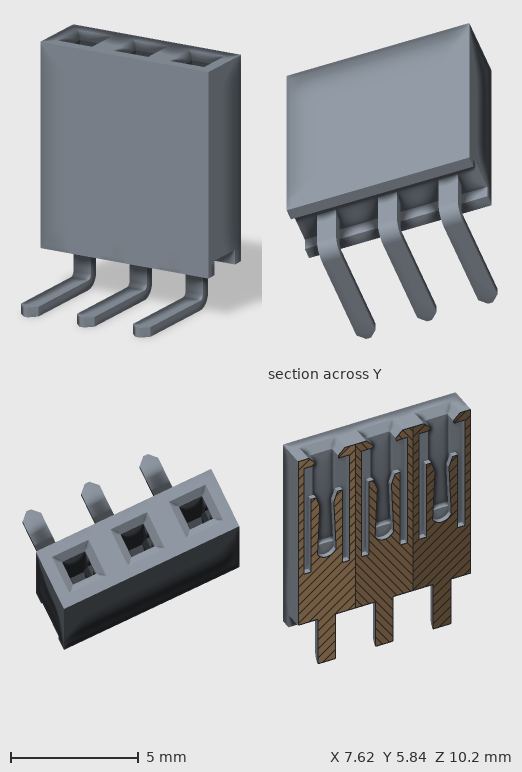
import cadquery as cq
import math

POLES = 3
PITCH = 2.54
HOUSING_HEIGHT = 8.5

SHEET_THICKNESS = 0.4

CHANNEL_WIDTH = 1.58
CHANNEL_DEPTH = 0.6

SOCKET_WIDTH = 1.0
FUNNEL_DEPTH = 0.3
FUNNEL_WIDTH = SOCKET_WIDTH + 2 * FUNNEL_DEPTH
SOCKET_FLOOR_Z = 4.0

RELIEF_FLOOR_Z = 3.0
RELIEF_SPAN = 2.0
FORK_SIDE_CLEARANCE = 0.02
RELIEF_WIDTH = SHEET_THICKNESS + 2 * FORK_SIDE_CLEARANCE
RELIEF_DROP = 0.14
RELIEF_TOP_Z = HOUSING_HEIGHT - FUNNEL_DEPTH - RELIEF_DROP

FORK_HALF_WIDTH = 0.7
FORK_TIP_Z = 6.5
LEAD_IN_DEPTH = 0.46
LEAD_IN_HALF_GAP = 0.47
THROAT_HALF_GAP = 0.3
THROAT_Z = FORK_TIP_Z - LEAD_IN_DEPTH
ROOT_RADIUS = 0.45
ROOT_HALF_GAP = 0.4
ROOT_BOTTOM_Z = 3.5

TAIL_WIDTH = 0.8
TAIL_DROP = 1.7
TAIL_REACH = 3.3
BEND_INNER_RADIUS = 0.2
BEND_OUTER_RADIUS = BEND_INNER_RADIUS + SHEET_THICKNESS
TAIL_TIP_CHAMFER = 0.3


def make_housing():
    """One-pole block with a channel below and a funnelled socket above."""
    block = cq.Workplane("XY").box(PITCH, PITCH, HOUSING_HEIGHT, centered=(True, True, False))
    channel = cq.Workplane("XY").box(PITCH, CHANNEL_WIDTH, CHANNEL_DEPTH, centered=(True, True, False))
    funnel = (
        cq.Workplane("XY", origin=(0, 0, HOUSING_HEIGHT))
        .rect(FUNNEL_WIDTH, FUNNEL_WIDTH)
        .workplane(offset=-FUNNEL_DEPTH)
        .rect(SOCKET_WIDTH, SOCKET_WIDTH)
        .loft(ruled=True)
    )
    socket = (
        cq.Workplane("XY", origin=(0, 0, SOCKET_FLOOR_Z))
        .rect(SOCKET_WIDTH, SOCKET_WIDTH)
        .extrude(HOUSING_HEIGHT - FUNNEL_DEPTH - SOCKET_FLOOR_Z)
    )
    relief = (
        cq.Workplane("XY", origin=(0, 0, RELIEF_FLOOR_Z))
        .rect(RELIEF_SPAN, RELIEF_WIDTH)
        .extrude(RELIEF_TOP_Z - RELIEF_FLOOR_Z)
    )
    return block.cut(channel).cut(funnel).cut(socket).cut(relief)


def make_fork():
    """Two arms with sloped lead-ins, a narrow throat and a rounded root between them."""
    root_rise = ROOT_RADIUS - math.sqrt(ROOT_RADIUS**2 - ROOT_HALF_GAP**2)
    root_edge_z = ROOT_BOTTOM_Z + root_rise
    return (
        cq.Workplane("XZ")
        .moveTo(-FORK_HALF_WIDTH, RELIEF_FLOOR_Z)
        .lineTo(-FORK_HALF_WIDTH, FORK_TIP_Z)
        .lineTo(-LEAD_IN_HALF_GAP, FORK_TIP_Z)
        .lineTo(-THROAT_HALF_GAP, THROAT_Z)
        .lineTo(-ROOT_HALF_GAP, root_edge_z)
        .threePointArc((0, ROOT_BOTTOM_Z), (ROOT_HALF_GAP, root_edge_z))
        .lineTo(THROAT_HALF_GAP, THROAT_Z)
        .lineTo(LEAD_IN_HALF_GAP, FORK_TIP_Z)
        .lineTo(FORK_HALF_WIDTH, FORK_TIP_Z)
        .lineTo(FORK_HALF_WIDTH, RELIEF_FLOOR_Z)
        .close()
        .extrude(SHEET_THICKNESS / 2, both=True)
    )


def make_tail():
    """Flat tail that leaves the channel roof, bends toward -Y and ends in a chamfered tip."""
    tip_y = -PITCH / 2 - TAIL_REACH
    back_y = SHEET_THICKNESS / 2
    front_y = -SHEET_THICKNESS / 2
    under_z = -TAIL_DROP
    upper_z = under_z + SHEET_THICKNESS
    tail = (
        cq.Workplane("YZ")
        .moveTo(back_y, CHANNEL_DEPTH)
        .lineTo(back_y, under_z + BEND_OUTER_RADIUS)
        .radiusArc((back_y - BEND_OUTER_RADIUS, under_z), BEND_OUTER_RADIUS)
        .lineTo(tip_y, under_z)
        .lineTo(tip_y, upper_z)
        .lineTo(front_y - BEND_INNER_RADIUS, upper_z)
        .radiusArc((front_y, upper_z + BEND_INNER_RADIUS), -BEND_INNER_RADIUS)
        .lineTo(front_y, CHANNEL_DEPTH)
        .close()
        .extrude(TAIL_WIDTH / 2, both=True)
    )
    return tail.faces("<Y").edges("|Z").chamfer(TAIL_TIP_CHAMFER)


def make_header_module(pole):
    """One pole: housing block and contact joined as a single solid."""
    module = make_housing().union(make_fork()).union(make_tail())
    center_x = (pole - (POLES - 1) / 2) * PITCH
    return module.translate((center_x, 0, 0))


header_modules = [make_header_module(pole).solids().val() for pole in range(POLES)]
result = cq.Compound.makeCompound(header_modules)